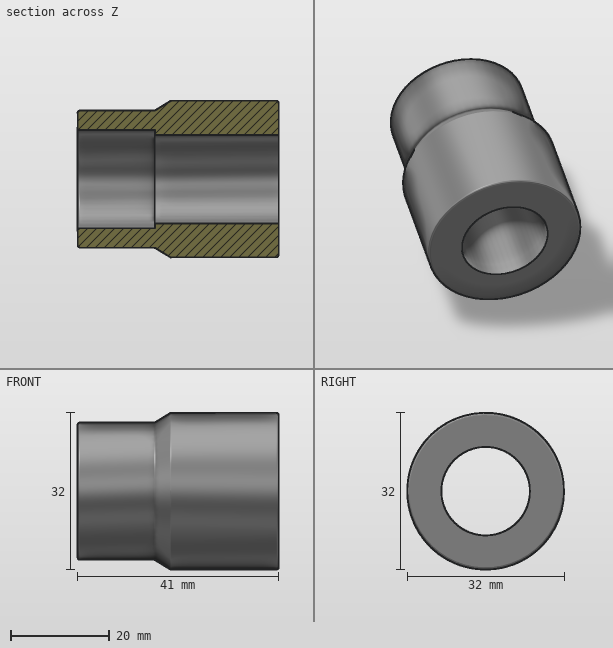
import cadquery as cq

total_length = 41.0
body_diameter = 32.0
body_length = 22.0
neck_diameter = 28.0
neck_length = 15.75
socket_diameter = 20.0
bore_diameter = 18.0
edge_radius = 0.5

body_radius = body_diameter / 2
neck_radius = neck_diameter / 2
shoulder_end = total_length - body_length
socket_depth = neck_length


def outer_body():
    """Revolved outside shape, with every outer edge rounded."""
    profile = (
        cq.Workplane("XY")
        .moveTo(0, 0)
        .lineTo(0, neck_radius)
        .lineTo(neck_length, neck_radius)
        .lineTo(shoulder_end, body_radius)
        .lineTo(total_length, body_radius)
        .lineTo(total_length, 0)
        .close()
    )
    solid = profile.revolve(360, (0, 0, 0), (1, 0, 0))
    return solid.edges("%CIRCLE").fillet(edge_radius)


def round_hole(diameter, depth):
    """Cylinder starting at the neck face and running along +X."""
    return cq.Workplane("YZ").circle(diameter / 2).extrude(depth)


def round_socket_mouth(part):
    """Round the rim where the socket meets the neck face."""
    mouth = cq.selectors.RadiusNthSelector(0)
    return part.faces("<X").edges(mouth).fillet(edge_radius)


result = outer_body()
result = result.cut(round_hole(bore_diameter, total_length))
result = result.cut(round_hole(socket_diameter, socket_depth))
result = round_socket_mouth(result)